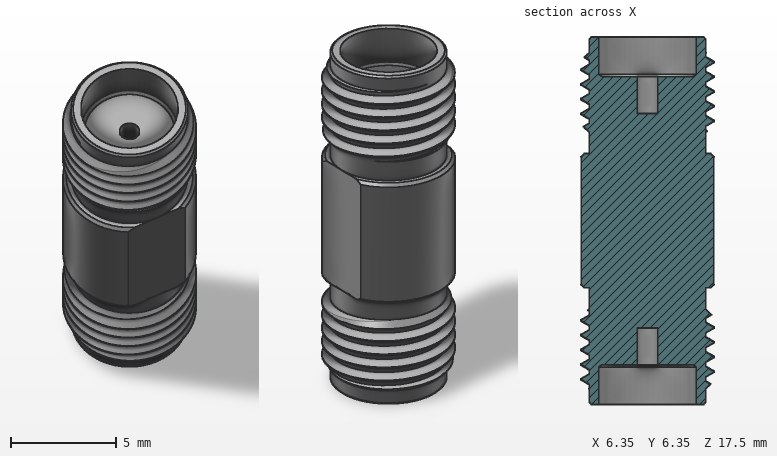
import cadquery as cq
import math

length = 17.5
middle = length / 2
barrel_radius = 2.78
rim_chamfer = 0.1

body_radius = 6.35 / 2
body_length = 6.4
body_chamfer = 0.15
flat_distance = barrel_radius

thread_radius = body_radius
pitch = 0.7
crest_width = 0.05
flank_angle = 30.0
thread_low = 12.95
thread_high = 16.75
thread_crest_z = 15.77
root_overlap = 0.07
envelope_margin = 0.09

bore_radius = 2.31
bore_depth = 1.78
floor_radius = 2.15
floor_chamfer_height = 0.1
contact_hole_radius = 0.47
contact_hole_depth = 1.75


def make_body():
    """Chamfered cylinder with a pair of opposite flats."""
    cylinder = (
        cq.Workplane("XY", origin=(0, 0, middle - body_length / 2))
        .circle(body_radius)
        .extrude(body_length)
        .faces("<Z or >Z")
        .chamfer(body_chamfer)
    )
    between_flats = cq.Workplane("XY").box(2 * flat_distance, 2 * body_radius, body_length)
    return cylinder.intersect(between_flats.translate((0, 0, middle)))


def make_barrel():
    """Full-length barrel with the rims of both ends chamfered."""
    barrel = cq.Workplane("XY").circle(barrel_radius).extrude(length)
    return barrel.faces("<Z or >Z").chamfer(rim_chamfer)


def make_thread():
    """Upper thread, run out at both ends by 45 degree cones."""
    root_radius = barrel_radius - root_overlap
    half_crest = crest_width / 2
    half_root = half_crest + (thread_radius - root_radius) * math.tan(math.radians(flank_angle))

    start_z = thread_crest_z - pitch * math.ceil((thread_crest_z - thread_low) / pitch + 1)
    end_z = thread_crest_z + pitch * math.ceil((thread_high - thread_crest_z) / pitch + 1)
    helix = cq.Wire.makeHelix(pitch, end_z - start_z, root_radius)
    coil = (
        cq.Workplane("XZ")
        .polyline([
            (root_radius, -half_root),
            (thread_radius, -half_crest),
            (thread_radius, half_crest),
            (root_radius, half_root),
        ])
        .close()
        .sweep(cq.Workplane(obj=helix), isFrenet=True)
        .translate((0, 0, start_z))
    )

    inner_radius = root_radius - envelope_margin
    outer_radius = thread_radius + envelope_margin
    runout = outer_radius - inner_radius
    low = thread_low - (barrel_radius - inner_radius)
    high = thread_high + (barrel_radius - inner_radius)
    envelope = (
        cq.Workplane("XZ")
        .polyline([
            (inner_radius, low),
            (outer_radius, low + runout),
            (outer_radius, high - runout),
            (inner_radius, high),
        ])
        .close()
        .revolve(360, (0, 0, 0), (0, 1, 0))
    )
    return coil.intersect(envelope)


def make_socket():
    """Cutter for the upper socket: bore, conical floor edge and contact hole."""
    bore_bottom = length - bore_depth
    floor = bore_bottom - floor_chamfer_height
    hole_bottom = floor - contact_hole_depth
    return (
        cq.Workplane("XZ")
        .polyline([
            (0, length),
            (bore_radius, length),
            (bore_radius, bore_bottom),
            (floor_radius, floor),
            (contact_hole_radius, floor),
            (contact_hole_radius, hole_bottom),
            (0, hole_bottom),
        ])
        .close()
        .revolve(360, (0, 0, 0), (0, 1, 0))
    )


def turn_over(shape):
    """Copy for the lower end, turned half a turn about the X direction."""
    return shape.rotate((0, 0, middle), (1, 0, middle), 180)


thread = make_thread()
socket = make_socket()

result = make_barrel().union(make_body())
for end_thread in (thread, turn_over(thread)):
    result = result.union(end_thread)
for end_socket in (socket, turn_over(socket)):
    result = result.cut(end_socket)